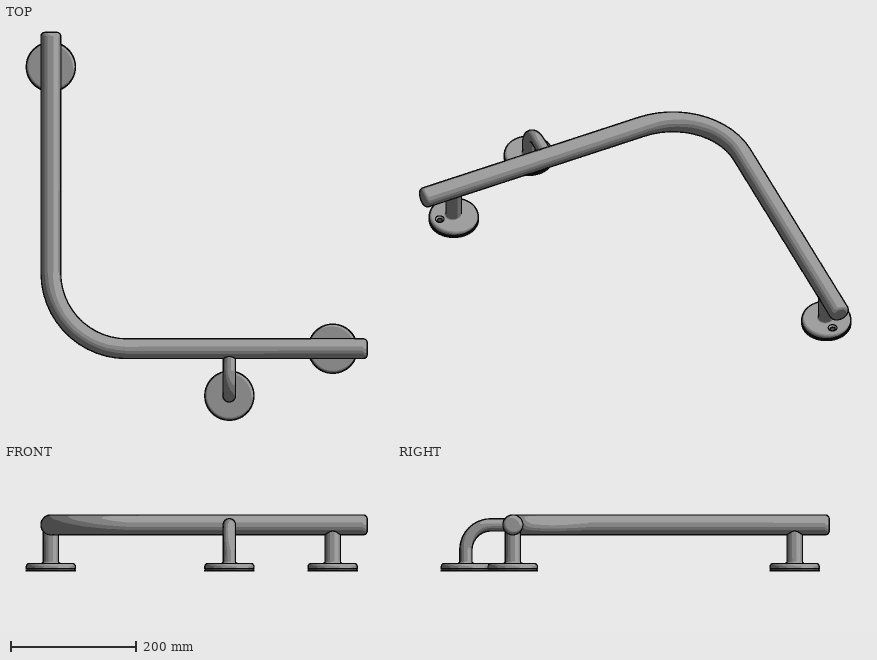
import cadquery as cq

bar_diameter = 32.0
bar_top = 89.3
bar_length = 505.3
bend_radius = 121.0
end_rounding = 6.8

foot_diameter = 79.0
foot_height = 12.0
foot_rounding = 5.5
groove_bottom = 1.0
groove_width = 3.0
groove_depth = 1.0
weld_size = 2.5

post_diameter = 25.0
post_distance = 450.0
screw_hole_diameter = 8.0
screw_head_diameter = 14.0
screw_hole_distance = 24.5

elbow_diameter = 20.0
elbow_bend_radius = 40.0
elbow_position = 285.0
elbow_reach = 75.0

bar_radius = bar_diameter / 2
bar_height = bar_top - bar_radius


def make_bar():
    """Quarter-bent round bar with rounded ends."""
    path = (
        cq.Workplane("XY", origin=(0, 0, bar_height))
        .moveTo(0, bar_length)
        .lineTo(0, bend_radius)
        .radiusArc((bend_radius, 0), -bend_radius)
        .lineTo(bar_length, 0)
    )
    bar = (
        cq.Workplane("XZ", origin=(0, bar_length, bar_height))
        .circle(bar_radius)
        .sweep(path)
    )
    return bar.faces(">X or >Y").edges().fillet(end_rounding)


def make_foot(x, y, stem_diameter):
    """Rounded disc with a shallow rim groove and a weld bead around the stem that stands on it."""
    disc = (
        cq.Workplane("XY", origin=(x, y, 0))
        .circle(foot_diameter / 2)
        .extrude(foot_height)
        .faces(">Z")
        .edges()
        .fillet(foot_rounding)
    )
    groove = (
        cq.Workplane("XY", origin=(x, y, groove_bottom))
        .circle(foot_diameter / 2)
        .circle(foot_diameter / 2 - groove_depth)
        .extrude(groove_width)
    )
    stem_radius = stem_diameter / 2
    bead = (
        cq.Workplane("XZ", origin=(x, y, 0))
        .moveTo(0, 0)
        .lineTo(stem_radius + weld_size, 0)
        .lineTo(stem_radius + weld_size, foot_height)
        .radiusArc((stem_radius, foot_height + weld_size), weld_size)
        .lineTo(0, foot_height + weld_size)
        .close()
        .revolve(360, (0, 0), (0, 1))
    )
    return disc.cut(groove).union(bead)


def make_post(x_direction, y_direction):
    """Straight post and foot below one bar end, with a countersunk screw hole."""
    x = post_distance * x_direction
    y = post_distance * y_direction
    post = cq.Workplane("XY", origin=(x, y, 0)).circle(post_diameter / 2).extrude(bar_height)
    hole_x = x + screw_hole_distance * x_direction
    hole_y = y + screw_hole_distance * y_direction
    hole_radius = screw_hole_diameter / 2
    head_radius = screw_head_diameter / 2
    countersink_depth = head_radius - hole_radius
    screw_hole = (
        cq.Workplane("XZ", origin=(hole_x, hole_y, 0))
        .moveTo(0, 0)
        .lineTo(hole_radius, 0)
        .lineTo(hole_radius, foot_height - countersink_depth)
        .lineTo(head_radius, foot_height)
        .lineTo(0, foot_height)
        .close()
        .revolve(360, (0, 0), (0, 1))
    )
    return make_foot(x, y, post_diameter).union(post).cut(screw_hole)


def make_elbow_support():
    """Quarter elbow from its own foot up to the side of the bar."""
    bend_end_height = bar_height - elbow_bend_radius
    path = (
        cq.Workplane("YZ", origin=(elbow_position, 0, 0))
        .moveTo(-elbow_reach, 0)
        .lineTo(-elbow_reach, bend_end_height)
        .radiusArc((elbow_bend_radius - elbow_reach, bar_height), elbow_bend_radius)
        .lineTo(0, bar_height)
    )
    tube = (
        cq.Workplane("XY", origin=(elbow_position, -elbow_reach, 0))
        .circle(elbow_diameter / 2)
        .sweep(path)
    )
    return make_foot(elbow_position, -elbow_reach, elbow_diameter).union(tube)


result = (
    make_bar()
    .union(make_post(1, 0))
    .union(make_post(0, 1))
    .union(make_elbow_support())
)